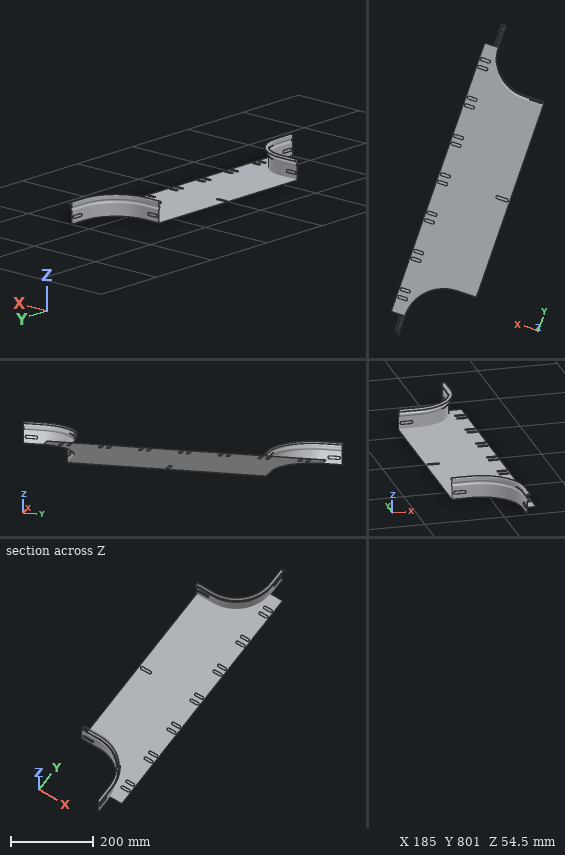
import cadquery as cq
import math


length = 801.0
width = 185.0
height = 54.5
sheet = 1.0

straight = 50.0
corner_radius = 99.0
wall_x = straight + corner_radius
wall_y = length / 2 - wall_x
floor_half_length = wall_y + corner_radius

groove_z = 39.0
groove_radius = 4.0
groove_edge_radius = 2.8
groove_turn = math.radians(60)

bend_radius = 2.5

flange_width = 10.0
curl_turn = math.radians(135)
curl_lip = 2.8

knockout_depth = sheet / 4
slot_width = 7.5
floor_slot_length = 25.0
floor_slot_x = 169.0
slot_pair_count = 7
slot_pair_pitch = 100.0
slot_pair_spacing = 20.0
end_slot_length = 31.0
end_slot_center = 20.0
end_slot_z = 18.0


def on_circle(center, radius, angle):
    return (center[0] + radius * math.cos(angle), center[1] + radius * math.sin(angle))


def groove_arcs(depth):
    """The three arcs of the groove from bottom to top, as (middle, end) points.

    depth is the distance into the sheet from the concave face.
    """
    inner = groove_radius + depth
    edge = groove_edge_radius - depth
    reach = groove_radius + groove_edge_radius
    half_height = reach * math.sin(groove_turn)
    center = (-reach * math.cos(groove_turn) + groove_edge_radius, groove_z)
    low = (groove_edge_radius, groove_z - half_height)
    high = (groove_edge_radius, groove_z + half_height)
    return [
        (on_circle(low, edge, math.pi - groove_turn / 2), on_circle(low, edge, math.pi - groove_turn)),
        (on_circle(center, inner, 0), on_circle(center, inner, groove_turn)),
        (on_circle(high, edge, math.pi + groove_turn / 2), on_circle(high, edge, math.pi)),
    ]


def wall_profile():
    """Closed wall section: first coordinate runs from the concave face outward, second is up."""
    half_groove = (groove_radius + groove_edge_radius) * math.sin(groove_turn)
    inner_bend = bend_radius - sheet
    foot_center = (bend_radius, bend_radius)
    bend_center = (bend_radius, height - bend_radius)
    curl_center = (flange_width - bend_radius, height - bend_radius)
    curl_end = math.pi / 2 - curl_turn
    curl_middle = math.pi / 2 - curl_turn / 2
    lip_direction = curl_end - math.pi / 2

    def lip_tip(radius):
        return on_circle(on_circle(curl_center, radius, curl_end), curl_lip, lip_direction)

    section = (
        cq.Workplane("YZ")
        .moveTo(bend_radius, 0)
        .threePointArc(
            on_circle(foot_center, bend_radius, math.radians(225)),
            on_circle(foot_center, bend_radius, math.pi),
        )
        .lineTo(0, groove_z - half_groove)
    )
    for middle, end in groove_arcs(0):
        section = section.threePointArc(middle, end)
    section = (
        section.lineTo(*on_circle(bend_center, bend_radius, math.pi))
        .threePointArc(
            on_circle(bend_center, bend_radius, math.radians(135)),
            on_circle(bend_center, bend_radius, math.pi / 2),
        )
        .lineTo(*on_circle(curl_center, bend_radius, math.pi / 2))
        .threePointArc(
            on_circle(curl_center, bend_radius, curl_middle),
            on_circle(curl_center, bend_radius, curl_end),
        )
        .lineTo(*lip_tip(bend_radius))
    )

    section = (
        section.lineTo(*lip_tip(inner_bend))
        .lineTo(*on_circle(curl_center, inner_bend, curl_end))
        .threePointArc(
            on_circle(curl_center, inner_bend, curl_middle),
            on_circle(curl_center, inner_bend, math.pi / 2),
        )
        .lineTo(*on_circle(bend_center, inner_bend, math.pi / 2))
        .threePointArc(
            on_circle(bend_center, inner_bend, math.radians(135)),
            on_circle(bend_center, inner_bend, math.pi),
        )
        .lineTo(sheet, groove_z + half_groove)
    )
    (low_middle, low_end), (mid_middle, mid_end), (high_middle, _) = groove_arcs(sheet)
    return (
        section.threePointArc(high_middle, mid_end)
        .threePointArc(mid_middle, low_end)
        .threePointArc(low_middle, (sheet, groove_z - half_groove))
        .lineTo(sheet, bend_radius)
        .threePointArc(
            on_circle(foot_center, inner_bend, math.radians(225)),
            on_circle(foot_center, inner_bend, math.radians(270)),
        )
        .close()
    )


def floor():
    """Flat sheet whose corners are cut along the inner edge of the walls' foot bend."""
    edge_x = wall_x + bend_radius
    edge_y = wall_y - bend_radius
    diagonal = (corner_radius + bend_radius) * math.sqrt(0.5)
    middle_x = straight + diagonal
    middle_y = floor_half_length - diagonal
    return (
        cq.Workplane("XY")
        .moveTo(0, -edge_y)
        .lineTo(straight, -edge_y)
        .threePointArc((middle_x, -middle_y), (edge_x, -floor_half_length))
        .lineTo(width, -floor_half_length)
        .lineTo(width, floor_half_length)
        .lineTo(edge_x, floor_half_length)
        .threePointArc((middle_x, middle_y), (straight, edge_y))
        .lineTo(0, edge_y)
        .close()
        .extrude(sheet)
    )


def knockouts(places, slot_length):
    """Slot recesses in both faces of a sheet lying on Z = 0, long side along X."""
    slots = cq.Workplane("XY").pushPoints(places).slot2D(slot_length, slot_width).extrude(knockout_depth)
    return slots.union(slots.translate((0, 0, sheet - knockout_depth)))


def wall():
    """Wall around the -Y corner, with a knockout near each free end."""
    upright_knockout = (
        knockouts([(end_slot_center, -end_slot_z)], end_slot_length)
        .rotate((0, 0, 0), (1, 0, 0), -90)
    )
    run = wall_profile().extrude(straight).cut(upright_knockout)
    first_run = run.translate((0, -wall_y, 0))
    second_run = run.rotate((0, 0, 0), (0, 0, 1), -90).mirror("XZ").translate((wall_x, -length / 2, 0))
    corner = (
        wall_profile()
        .revolve(90, (-corner_radius, 8), (-corner_radius, 0))
        .translate((straight, -wall_y, 0))
    )
    return first_run.union(corner).union(second_run)


def floor_knockouts():
    pair_y = [(i - (slot_pair_count - 1) / 2) * slot_pair_pitch for i in range(slot_pair_count)]
    places = [(floor_slot_x, y + side * slot_pair_spacing / 2) for y in pair_y for side in (-1, 1)]
    row = knockouts(places, floor_slot_length)
    return row.union(knockouts([(end_slot_center, 0)], end_slot_length))


near_wall = wall()
far_wall = near_wall.mirror("XZ")
result = floor().cut(floor_knockouts()).union(near_wall).union(far_wall)